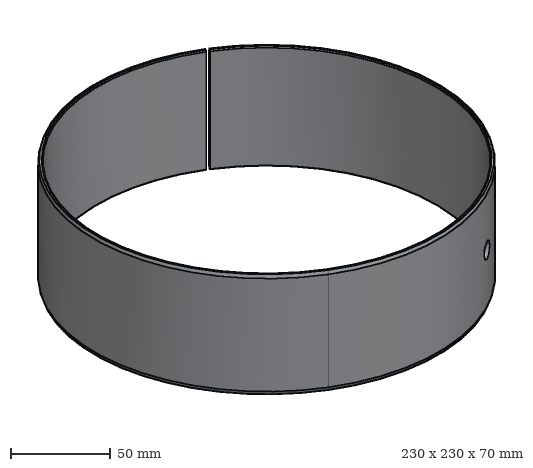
import cadquery as cq

outer_diameter = 230.0
height = 70.0
wall = 2.5

bevel_depth = 0.7
bevel_height = 2.0

inner_chamfer = 0.7

gap_width = 2.0

hole_diameter = 10.0
hole_height = height / 2
hole_angle = 59.0

outer_radius = outer_diameter / 2
inner_radius = outer_radius - wall


def ring_body():
    """Revolve the wall section, bevelled at all four corners."""
    section = (
        cq.Workplane("XZ")
        .moveTo(inner_radius + inner_chamfer, 0)
        .lineTo(outer_radius - bevel_depth, 0)
        .lineTo(outer_radius, bevel_height)
        .lineTo(outer_radius, height - bevel_height)
        .lineTo(outer_radius - bevel_depth, height)
        .lineTo(inner_radius + inner_chamfer, height)
        .lineTo(inner_radius, height - inner_chamfer)
        .lineTo(inner_radius, inner_chamfer)
        .close()
    )
    return section.revolve(360, (0, 0, 0), (0, 1, 0))


def gap_cutter():
    """Block that splits the wall along its full height, on the +Y side of the XZ plane."""
    block = cq.Workplane("XY").box(2 * wall, gap_width, height, centered=(True, False, False))
    return block.translate((wall / 2 - outer_radius, 0, 0))


def hole_cutter():
    """Radial pin that reaches from the axis out past the wall, turned to the hole's angle."""
    plane = cq.Workplane("YZ", origin=(0, 0, hole_height))
    pin = plane.circle(hole_diameter / 2).extrude(outer_radius + wall)
    return pin.rotate((0, 0, 0), (0, 0, 1), hole_angle)


result = ring_body().cut(gap_cutter()).cut(hole_cutter())